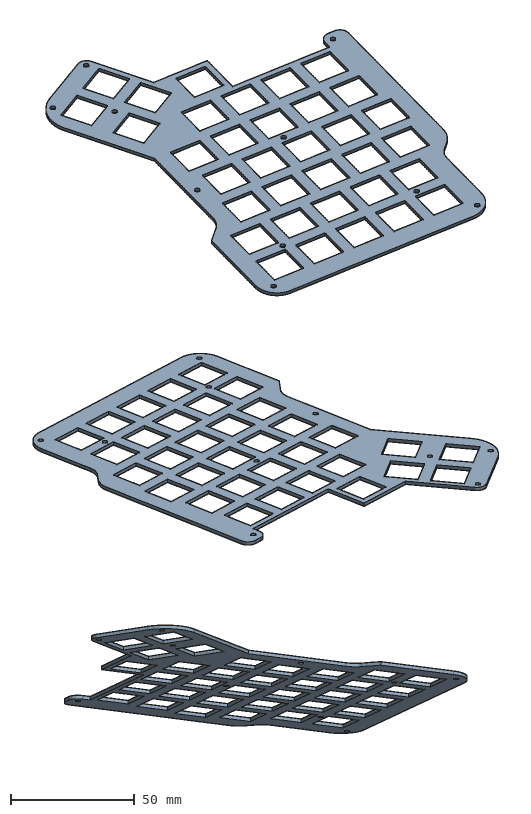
import cadquery as cq
import math


plate_length = 166.6
plate_height = 130.8
plate_thickness = 1.52

key_opening = 14.0
five_key_span = 76.2
key_pitch = five_key_span / 4
wide_thumb_pitch = 1.25 * key_pitch
first_column_x = 36.3

tab_left_x = 38.3
tab_bottom_y = 119.7
inner_edge_x = 45.8
step_top_y = 73.3
step_left_x = 26.7
field_bottom_y = 22.5
outer_top_y = 122.5
outer_bottom_y = 14.3
top_ramp_x = 118.5
bottom_ramp_x = 115.0
tab_radius = 4.0
outer_radius = 10.3
top_ramp_radius = 10.0
ramp_foot_radius = 8.3
sharp = 0

cluster_angle = 30.0
tip_radius = 4.0
tip_center_y = 30.0
heel_radius = 13.7
thumb_key_along = 15.8

screw_diameter = 2.2
field_screws = [
    (42.3, 123.5), (161.7, 117.0), (141.2, 101.0), (83.8, 73.7),
    (141.2, 37.0), (93.2, 26.5), (160.7, 20.3),
]
cluster_screws = [(3.3, 3.2), (27.0, 23.5), (3.8, 33.0)]

key_columns = [(63.7, 1), (54.2, 4), (37.0, 5), (40.2, 5), (37.7, 5), (29.7, 5), (29.7, 5)]

tilt_cos = math.cos(math.radians(cluster_angle))
tilt_sin = math.sin(math.radians(cluster_angle))
corner_reach = tilt_cos + tilt_sin - 1
tip_x = -corner_reach * tip_radius
tip_y = tip_center_y + (tilt_cos - tilt_sin) * tip_radius
cluster_depth = (tip_y + corner_reach * heel_radius) / tilt_cos


def in_cluster(along, depth):
    """Plate position of a point measured from the sharp tip corner of the thumb cluster."""
    return (
        tip_x + along * tilt_cos + depth * tilt_sin,
        tip_y + along * tilt_sin - depth * tilt_cos,
    )


def rounded_outline(corners):
    """Closed outline through (point, radius) corners, each rounded by a tangent arc."""
    path = None
    for index, (point, radius) in enumerate(corners):
        corner = cq.Vector(*point)
        to_previous = (cq.Vector(*corners[index - 1][0]) - corner).normalized()
        to_next = (cq.Vector(*corners[(index + 1) % len(corners)][0]) - corner).normalized()
        half_angle = to_previous.getAngle(to_next) / 2
        setback = radius / math.tan(half_angle)
        arc_start = corner + to_previous * setback
        if path is None:
            path = cq.Workplane("XY").moveTo(arc_start.x, arc_start.y)
        else:
            path = path.lineTo(arc_start.x, arc_start.y)
        if radius > 0:
            bisector = (to_previous + to_next).normalized()
            arc_middle = corner + bisector * (radius / math.sin(half_angle) - radius)
            arc_end = corner + to_next * setback
            path = path.threePointArc((arc_middle.x, arc_middle.y), (arc_end.x, arc_end.y))
    return path.close()


def make_plate():
    heel_y = in_cluster(0, cluster_depth)[1]
    neck = in_cluster((step_left_x - tip_x) / tilt_cos, 0)
    cluster_end = in_cluster((field_bottom_y - heel_y) / tilt_sin, cluster_depth)
    top_ramp_end_x = top_ramp_x + plate_height - outer_top_y
    bottom_ramp_end_x = bottom_ramp_x + field_bottom_y - outer_bottom_y
    corners = [
        ((tab_left_x, plate_height), tab_radius),
        ((top_ramp_x, plate_height), top_ramp_radius),
        ((top_ramp_end_x, outer_top_y), ramp_foot_radius),
        ((plate_length, outer_top_y), outer_radius),
        ((plate_length, outer_bottom_y), outer_radius),
        ((bottom_ramp_end_x, outer_bottom_y), sharp),
        ((bottom_ramp_x, field_bottom_y), ramp_foot_radius),
        (cluster_end, sharp),
        (in_cluster(0, cluster_depth), heel_radius),
        (in_cluster(0, 0), tip_radius),
        (neck, sharp),
        ((step_left_x, step_top_y), sharp),
        ((inner_edge_x, step_top_y), sharp),
        ((inner_edge_x, tab_bottom_y), sharp),
        ((tab_left_x, tab_bottom_y), tab_radius),
    ]
    return rounded_outline(corners).extrude(plate_thickness)


def key_openings(centers, angle):
    """Square cutters at the given centres, each turned by angle degrees."""
    sketch = cq.Sketch().push(centers).rect(key_opening, key_opening, angle=angle)
    return cq.Workplane("XY").placeSketch(sketch).extrude(plate_thickness)


def screw_holes(centers):
    """Round cutters at the given centres."""
    return cq.Workplane("XY").pushPoints(centers).circle(screw_diameter / 2).extrude(plate_thickness)


field_keys = []
for column, (lowest_y, key_count) in enumerate(key_columns):
    for row in range(key_count):
        field_keys.append((first_column_x + column * key_pitch, lowest_y + row * key_pitch))

upper_depth = key_pitch / 2
lower_depth = upper_depth + key_pitch
thumb_keys = [
    in_cluster(thumb_key_along, upper_depth),
    in_cluster(thumb_key_along + key_pitch, upper_depth),
    in_cluster(thumb_key_along, lower_depth),
    in_cluster(thumb_key_along + wide_thumb_pitch, lower_depth),
]
screws = field_screws + [in_cluster(along, depth) for along, depth in cluster_screws]

result = make_plate()
result = result.cut(key_openings(field_keys, 0))
result = result.cut(key_openings(thumb_keys, cluster_angle))
result = result.cut(screw_holes(screws))